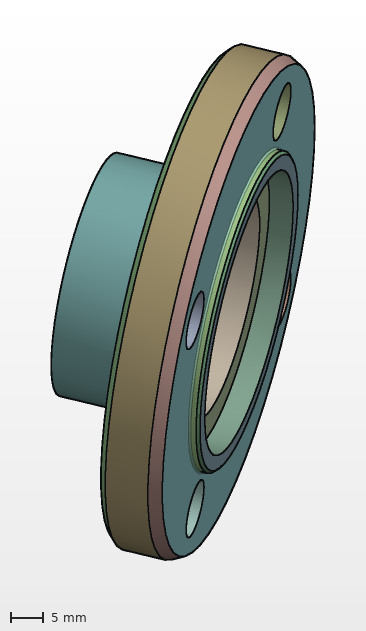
import cadquery as cq
import math

total_length = 25.5
raised_face_height = 1.65
flange_thickness = 9.8
counterbore_depth = 3.8

bore_diameter = 34.8
counterbore_diameter = 44.55
neck_diameter = 38.1
raised_face_diameter = 50.4
flange_diameter = 79.0

neck_fillet = 4.0
back_chamfer = 1.0
front_chamfer_length = 2.0
front_chamfer_drop = 1.0
face_root_fillet = 0.3
face_edge_chamfer = 0.5

bolt_count = 4
bolt_hole_diameter = 9.0
bolt_circle_diameter = 62.0
first_bolt_angle = 45.0

flange_front = total_length - raised_face_height
flange_back = flange_front - flange_thickness
bore_radius = bore_diameter / 2
counterbore_radius = counterbore_diameter / 2
counterbore_floor = total_length - counterbore_depth
neck_radius = neck_diameter / 2
face_radius = raised_face_diameter / 2
flange_radius = flange_diameter / 2


def fillet_arc_point(center_x, center_radius, arc_radius, angle):
    """Point on a fillet arc in the half section (X, radius)."""
    direction = math.radians(angle)
    return (
        center_x + arc_radius * math.cos(direction),
        center_radius + arc_radius * math.sin(direction),
    )


def make_flange_body():
    """Revolve the half section of neck, flange and counterbored raised face around X."""
    neck_arc_middle = fillet_arc_point(
        flange_back - neck_fillet, neck_radius + neck_fillet, neck_fillet, -45
    )
    root_arc_middle = fillet_arc_point(
        flange_front + face_root_fillet, face_radius + face_root_fillet, face_root_fillet, -135
    )
    section = (
        cq.Workplane("XY")
        .moveTo(0, bore_radius)
        .lineTo(0, neck_radius)
        .lineTo(flange_back - neck_fillet, neck_radius)
        .threePointArc(neck_arc_middle, (flange_back, neck_radius + neck_fillet))
        .lineTo(flange_back, flange_radius - back_chamfer)
        .lineTo(flange_back + back_chamfer, flange_radius)
        .lineTo(flange_front - front_chamfer_length, flange_radius)
        .lineTo(flange_front, flange_radius - front_chamfer_drop)
        .lineTo(flange_front, face_radius + face_root_fillet)
        .threePointArc(root_arc_middle, (flange_front + face_root_fillet, face_radius))
        .lineTo(total_length - face_edge_chamfer, face_radius)
        .lineTo(total_length, face_radius - face_edge_chamfer)
        .lineTo(total_length, counterbore_radius)
        .lineTo(counterbore_floor, counterbore_radius)
        .lineTo(counterbore_floor, bore_radius)
        .close()
    )
    return section.revolve(360, (0, 0, 0), (1, 0, 0))


def make_bolt_holes():
    """Cylinders through the full flange thickness."""
    return (
        cq.Workplane("YZ", origin=(flange_back, 0, 0))
        .polarArray(bolt_circle_diameter / 2, first_bolt_angle, 360, bolt_count)
        .circle(bolt_hole_diameter / 2)
        .extrude(flange_thickness)
    )


result = make_flange_body().cut(make_bolt_holes())